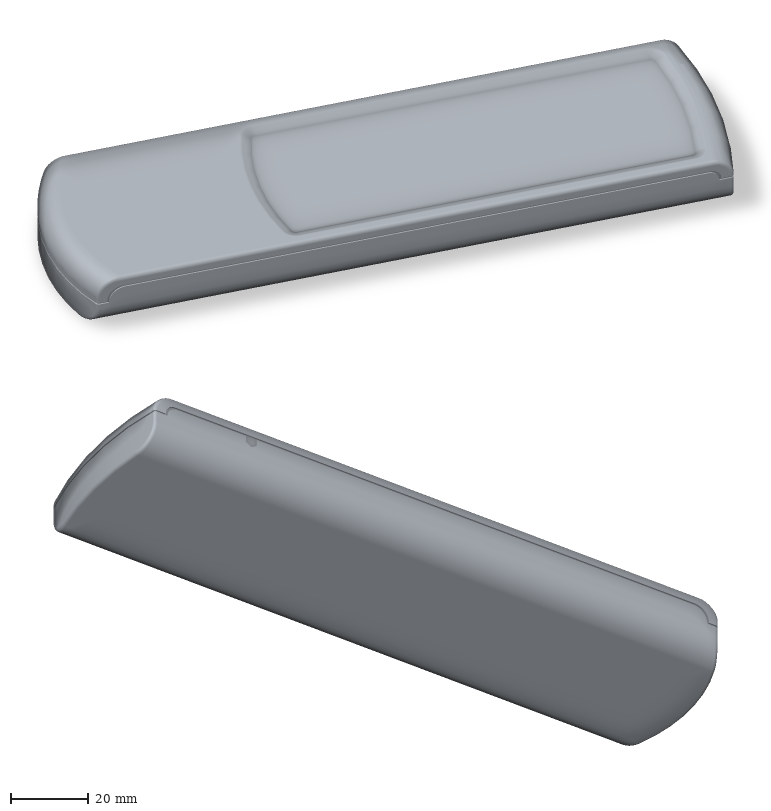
import cadquery as cq
import math

length = 181.2
width = 50.0
height = 16.5

front_bow = 6.9
back_bow = 3.3

end_top_radius = 5.8
side_top_radius = 1.0
side_bottom_radius = 7.0
end_edge_radius = 0.9

panel_side_margin = 2.9
panel_back_y = 83.5
panel_front_y = -35.3
panel_back_radius = 90.6
panel_front_radius = 61.6
panel_corner_radius = 4.0
panel_depth = 1.3
panel_wall_run = 2.7
panel_rim_radius = 1.5

groove_width = 0.5
groove_depth = 0.4
groove_side_z = 13.5
groove_front_z = 8.9
groove_back_z = 10.3
groove_front_y = -80.8
groove_back_y = 83.7
groove_front_bend = 4.3
groove_back_bend = 2.9

notch_y = 58.0
notch_width = 3.3
notch_height = 3.3
notch_straight = 2.2

overrun = 9.0

tolerance = 0.2


def arc_radius(half_chord, bow):
    """Radius of an arc that bows by the given height over its chord."""
    return (half_chord**2 + bow**2) / (2 * bow)


def arc_drop(radius, x):
    """Distance an arc centred on x = 0 falls from its crown at x."""
    return radius - math.sqrt(radius**2 - x**2)


def bowed_outline(half_width, front_y, back_y, front_radius, back_radius, z=0.0):
    """Closed outline with straight sides and ends that bow outwards."""
    front_corner = front_y + arc_drop(front_radius, half_width)
    back_corner = back_y - arc_drop(back_radius, half_width)
    return (
        cq.Workplane("XY", origin=(0, 0, z))
        .moveTo(-half_width, front_corner)
        .threePointArc((0, front_y), (half_width, front_corner))
        .lineTo(half_width, back_corner)
        .threePointArc((0, back_y), (-half_width, back_corner))
        .close()
    )


def make_case(inset=0.0):
    """Case with rounded end tops and long edges, with its sides and ends moved inwards by inset."""
    half_length = length / 2 - inset
    front_radius = arc_radius(width / 2, front_bow) - inset
    back_radius = arc_radius(width / 2, back_bow) - inset
    lengthwise = (
        bowed_outline(width / 2 + overrun, -half_length, half_length, front_radius, back_radius)
        .extrude(height)
        .edges("%CIRCLE and >Z")
        .fillet(end_top_radius)
    )
    crosswise = (
        cq.Workplane("XY")
        .box(width - 2 * inset, length + overrun, height, centered=(True, True, False))
        .edges("|Y and >Z")
        .fillet(side_top_radius)
        .edges("|Y and <Z")
        .fillet(side_bottom_radius)
    )
    return lengthwise.intersect(crosswise)


def round_end_edges(case):
    """Soften the uprights, side curves and bottom edges around both end faces."""
    end_face_top = height - end_top_radius
    corner_y = length / 2 - front_bow
    end_edges = [
        edge
        for edge in case.edges().vals()
        if abs(edge.Center().y) >= corner_y - tolerance
        and edge.BoundingBox().zmin < end_face_top - tolerance
        and edge.BoundingBox().zmax < end_face_top + tolerance
    ]
    return case.newObject(end_edges).fillet(end_edge_radius)


def make_panel_recess():
    """Recess with sloping walls; it is cut down from the top face."""
    slope = math.degrees(math.atan(panel_wall_run / panel_depth))
    upright_block = (
        bowed_outline(
            width / 2 - panel_side_margin,
            panel_front_y,
            panel_back_y,
            panel_front_radius,
            panel_back_radius,
            height,
        )
        .extrude(-panel_depth)
        .edges("|Z")
        .fillet(panel_corner_radius)
    )
    rim = upright_block.faces(">Z").wires().toPending()
    return rim.extrude(-panel_depth, combine=False, taper=slope)


def below_groove(offset):
    """Region under the parting line, which is raised by offset."""
    front_y = groove_front_y - offset
    back_y = groove_back_y + offset
    reach = length / 2 + overrun
    return (
        cq.Workplane("YZ")
        .moveTo(-reach, -overrun)
        .lineTo(-reach, groove_front_z + offset)
        .lineTo(front_y, groove_front_z + offset)
        .lineTo(front_y, groove_side_z + offset - groove_front_bend)
        .radiusArc((front_y + groove_front_bend, groove_side_z + offset), groove_front_bend)
        .lineTo(back_y - groove_back_bend, groove_side_z + offset)
        .radiusArc((back_y, groove_side_z + offset - groove_back_bend), groove_back_bend)
        .lineTo(back_y, groove_back_z + offset)
        .lineTo(reach, groove_back_z + offset)
        .lineTo(reach, -overrun)
        .close()
        .extrude(width / 2 + overrun, both=True)
    )


def make_notch():
    """Small pointed shield shape on the -X side."""
    half = notch_width / 2
    return (
        cq.Workplane("YZ", origin=(-width / 2, 0, 0))
        .moveTo(notch_y - half, groove_side_z)
        .lineTo(notch_y - half, groove_side_z - notch_straight)
        .lineTo(notch_y, groove_side_z - notch_height)
        .lineTo(notch_y + half, groove_side_z - notch_straight)
        .lineTo(notch_y + half, groove_side_z)
        .close()
        .extrude(groove_depth)
    )


def soften_panel_rim(body):
    """Round the rim where the sloping panel walls meet the top face."""
    rim_half_width = width / 2 - panel_side_margin
    rim_edges = [
        edge
        for edge in body.faces(">Z").edges().vals()
        if abs(edge.Center().x) < rim_half_width + tolerance
        and panel_front_y - tolerance < edge.BoundingBox().ymin
        and edge.BoundingBox().ymax < panel_back_y + tolerance
    ]
    return body.newObject(rim_edges).fillet(panel_rim_radius)


case = round_end_edges(make_case())
case = soften_panel_rim(case.cut(make_panel_recess()))
groove_band = below_groove(groove_width / 2).cut(below_groove(-groove_width / 2))
groove = groove_band.cut(make_case(groove_depth))

result = case.cut(groove).cut(make_notch())